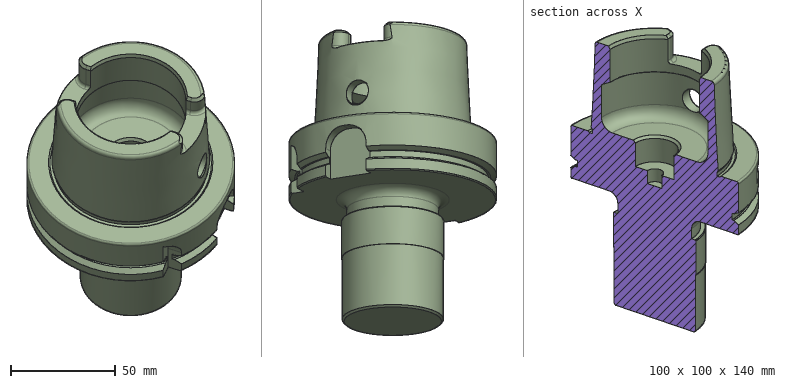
import cadquery as cq
import math

TOTAL_HEIGHT = 140.0
FLANGE_TOP = 90.0
FLANGE_BOTTOM = 61.0

TAPER_BASE_Z = 92.5
TAPER_BASE_RADIUS = 38.0
TAPER_SLOPE = 0.05
TAPER_TOP_RADIUS = TAPER_BASE_RADIUS - TAPER_SLOPE * (TOTAL_HEIGHT - TAPER_BASE_Z)
UNDERCUT_RADIUS = 37.2
UNDERCUT_Z = 91.3
UNDERCUT_DEPTH = 0.7
UNDERCUT_FLOOR_RADIUS = 38.8
UNDERCUT_MOUTH_RADIUS = 39.5

FLANGE_RADIUS = 50.0
FLANGE_ROUND = 1.0
FLANGE_BOTTOM_CHAMFER = 0.5
GROOVE_MID_Z = 70.0
GROOVE_MOUTH_HEIGHT = 6.6
GROOVE_FLOOR_HEIGHT = 3.4
GROOVE_STEP_RADIUS = 47.2
GROOVE_RADIUS = 46.2

NECK_RADIUS = 22.1
NECK_FILLET = 5.0
COLLAR_RADIUS = 24.6
COLLAR_TOP = 50.5
COLLAR_BOTTOM = 31.5
COLLAR_CHAMFER = 0.4
SHANK_RADIUS = 24.4
SHANK_CHAMFER = 1.0

BORE_RADIUS = 26.5
BORE_RIM_RADIUS = 27.3
BORE_RIM_DEPTH = 1.7
LIP_Z = TOTAL_HEIGHT - 19.6
RECESS_RADIUS = 31.5
LIP_UNDERSIDE_ANGLE = 60.0
BORE_FILLET = 6.5
BORE_FLOOR_Z = TOTAL_HEIGHT - 46.6
COUNTERSINK_RADIUS = 12.6
SOCKET_RADIUS = 11.3
SOCKET_DEPTH = 14.0
COOLANT_RADIUS = 4.2
COOLANT_DEPTH = 7.0

SLOT_HALF_WIDTH = 10.0
SLOT_DEPTHS = {-1: 14.8, 1: 9.8}
LUG_ROUND = 5.2
LUG_ROUND_CENTER_X = 27.0
LUG_RELIEF_ANGLE = 30.0
LUG_RELIEF_LENGTH = 14.0
SLOT_ROOT_FILLET = 1.7
RIM_FILLET = 1.8
LUG_END_CHAMFER = 1.4
BEVEL_HEIGHT = 2 * LUG_END_CHAMFER

CROSS_HOLE_RADIUS = 6.0
CROSS_HOLE_SINK_X = 37.0
CROSS_HOLE_Z = TOTAL_HEIGHT - 34.9

KEYWAY_HALF_WIDTH = 10.9
KEYWAY_TOP = 85.0
KEYWAY_CORNER = 9.8
KEYWAY_FLOOR_X = 44.0

NOTCH_RADIUS = 10.0
NOTCH_FLOOR_X = 31.6
NOTCH_CENTER_Y = -41.7
NOTCH_CENTER_Z = 75.6

FLAT_DISTANCE = 47.2
FLAT_ANGLE = 135.0
FLAT_BOTTOM = 78.4
FLAT_TOP = 86.1

ARC_MID = 1 - math.sqrt(0.5)
CLEARANCE = 14.0


def make_body():
    groove_mouth = GROOVE_MOUTH_HEIGHT / 2
    groove_floor = GROOVE_FLOOR_HEIGHT / 2
    fillet_mid = NECK_FILLET * ARC_MID
    round_mid = FLANGE_ROUND * ARC_MID
    return (
        cq.Workplane("XZ")
        .moveTo(0, 0)
        .lineTo(SHANK_RADIUS - SHANK_CHAMFER, 0)
        .lineTo(SHANK_RADIUS, SHANK_CHAMFER)
        .lineTo(SHANK_RADIUS, COLLAR_BOTTOM)
        .lineTo(COLLAR_RADIUS, COLLAR_BOTTOM)
        .lineTo(COLLAR_RADIUS, COLLAR_TOP - COLLAR_CHAMFER)
        .lineTo(COLLAR_RADIUS - COLLAR_CHAMFER, COLLAR_TOP)
        .lineTo(NECK_RADIUS, COLLAR_TOP)
        .lineTo(NECK_RADIUS, FLANGE_BOTTOM - NECK_FILLET)
        .threePointArc(
            (NECK_RADIUS + fillet_mid, FLANGE_BOTTOM - fillet_mid),
            (NECK_RADIUS + NECK_FILLET, FLANGE_BOTTOM),
        )
        .lineTo(FLANGE_RADIUS - FLANGE_BOTTOM_CHAMFER, FLANGE_BOTTOM)
        .lineTo(FLANGE_RADIUS, FLANGE_BOTTOM + FLANGE_BOTTOM_CHAMFER)
        .lineTo(FLANGE_RADIUS, GROOVE_MID_Z - groove_mouth)
        .lineTo(GROOVE_STEP_RADIUS, GROOVE_MID_Z - groove_floor)
        .lineTo(GROOVE_RADIUS, GROOVE_MID_Z - groove_floor)
        .lineTo(GROOVE_RADIUS, GROOVE_MID_Z + groove_floor)
        .lineTo(GROOVE_STEP_RADIUS, GROOVE_MID_Z + groove_floor)
        .lineTo(FLANGE_RADIUS, GROOVE_MID_Z + groove_mouth)
        .lineTo(FLANGE_RADIUS, FLANGE_TOP - FLANGE_ROUND)
        .threePointArc(
            (FLANGE_RADIUS - round_mid, FLANGE_TOP - round_mid),
            (FLANGE_RADIUS - FLANGE_ROUND, FLANGE_TOP),
        )
        .lineTo(UNDERCUT_MOUTH_RADIUS, FLANGE_TOP)
        .lineTo(UNDERCUT_FLOOR_RADIUS, FLANGE_TOP - UNDERCUT_DEPTH)
        .lineTo(UNDERCUT_RADIUS, FLANGE_TOP - UNDERCUT_DEPTH)
        .lineTo(UNDERCUT_RADIUS, UNDERCUT_Z)
        .lineTo(TAPER_BASE_RADIUS, TAPER_BASE_Z)
        .lineTo(TAPER_TOP_RADIUS, TOTAL_HEIGHT)
        .lineTo(0, TOTAL_HEIGHT)
        .close()
        .revolve(360, (0, 0, 0), (0, 1, 0))
    )


def make_bore():
    countersink = COUNTERSINK_RADIUS - SOCKET_RADIUS
    socket_floor = BORE_FLOOR_Z - SOCKET_DEPTH
    coolant_floor = socket_floor - COOLANT_DEPTH
    lip_height = (RECESS_RADIUS - BORE_RADIUS) / math.tan(math.radians(LIP_UNDERSIDE_ANGLE))
    fillet_mid = BORE_FILLET * ARC_MID
    return (
        cq.Workplane("XZ")
        .moveTo(0, coolant_floor)
        .lineTo(COOLANT_RADIUS, coolant_floor)
        .lineTo(COOLANT_RADIUS, socket_floor)
        .lineTo(SOCKET_RADIUS, socket_floor)
        .lineTo(SOCKET_RADIUS, BORE_FLOOR_Z - countersink)
        .lineTo(COUNTERSINK_RADIUS, BORE_FLOOR_Z)
        .lineTo(RECESS_RADIUS - BORE_FILLET, BORE_FLOOR_Z)
        .threePointArc(
            (RECESS_RADIUS - fillet_mid, BORE_FLOOR_Z + fillet_mid),
            (RECESS_RADIUS, BORE_FLOOR_Z + BORE_FILLET),
        )
        .lineTo(RECESS_RADIUS, LIP_Z - lip_height)
        .lineTo(BORE_RADIUS, LIP_Z)
        .lineTo(BORE_RADIUS, TOTAL_HEIGHT - BORE_RIM_DEPTH)
        .lineTo(BORE_RIM_RADIUS, TOTAL_HEIGHT)
        .lineTo(0, TOTAL_HEIGHT)
        .close()
        .revolve(360, (0, 0, 0), (0, 1, 0))
    )


def drive_slot_outline(side, height):
    """Plan outline of a slot that leaves rounded lug ends; side is the sign of X it opens toward."""
    center_y = SLOT_HALF_WIDTH + LUG_ROUND
    relief = math.radians(LUG_RELIEF_ANGLE)
    middle = (relief - math.pi / 2) / 2

    def on_round(angle):
        return (
            side * (LUG_ROUND_CENTER_X + LUG_ROUND * math.cos(angle)),
            center_y + LUG_ROUND * math.sin(angle),
        )

    def mirrored(point):
        return (point[0], -point[1])

    flat_start = (side * LUG_ROUND_CENTER_X, SLOT_HALF_WIDTH)
    round_middle = on_round(middle)
    round_end = on_round(relief)
    relief_end = (
        round_end[0] - side * LUG_RELIEF_LENGTH * math.sin(relief),
        round_end[1] + LUG_RELIEF_LENGTH * math.cos(relief),
    )
    outer_corner = (side * (TAPER_BASE_RADIUS + CLEARANCE), relief_end[1])
    return (
        cq.Workplane("XY", origin=(0, 0, height))
        .moveTo(0, -SLOT_HALF_WIDTH)
        .lineTo(*mirrored(flat_start))
        .threePointArc(mirrored(round_middle), mirrored(round_end))
        .lineTo(*mirrored(relief_end))
        .lineTo(*mirrored(outer_corner))
        .lineTo(*outer_corner)
        .lineTo(*relief_end)
        .lineTo(*round_end)
        .threePointArc(round_middle, flat_start)
        .lineTo(0, SLOT_HALF_WIDTH)
        .close()
    )


def cut_drive_slot(body, side, depth):
    """Cut one slot with a filleted root and a 45 degree bevel along the top of the lug ends."""
    slot = drive_slot_outline(side, TOTAL_HEIGHT - depth).extrude(depth + CLEARANCE)
    slot = slot.faces("<Z").edges().fillet(SLOT_ROOT_FILLET)
    bevel = drive_slot_outline(side, TOTAL_HEIGHT - LUG_END_CHAMFER).extrude(BEVEL_HEIGHT, taper=-45)
    return body.cut(slot).cut(bevel)


def make_cross_hole():
    """Straight bore through both walls, with a 45 degree countersink at each mouth."""
    mouth_x = TAPER_BASE_RADIUS
    mouth_radius = CROSS_HOLE_RADIUS + mouth_x - CROSS_HOLE_SINK_X
    return (
        cq.Workplane("XZ", origin=(0, 0, CROSS_HOLE_Z))
        .moveTo(-mouth_x, 0)
        .lineTo(-mouth_x, mouth_radius)
        .lineTo(-CROSS_HOLE_SINK_X, CROSS_HOLE_RADIUS)
        .lineTo(CROSS_HOLE_SINK_X, CROSS_HOLE_RADIUS)
        .lineTo(mouth_x, mouth_radius)
        .lineTo(mouth_x, 0)
        .close()
        .revolve(360, (0, 0, 0), (1, 0, 0))
    )


def make_keyway(side):
    bottom = FLANGE_BOTTOM - CLEARANCE
    height = KEYWAY_TOP - bottom
    depth = FLANGE_RADIUS - KEYWAY_FLOOR_X + CLEARANCE
    return (
        cq.Workplane("XY")
        .box(depth, 2 * KEYWAY_HALF_WIDTH, height)
        .edges("|X and >Z")
        .fillet(KEYWAY_CORNER)
        .translate((side * (KEYWAY_FLOOR_X + depth / 2), 0, bottom + height / 2))
    )


def make_notch():
    bottom = FLANGE_BOTTOM - CLEARANCE
    return (
        cq.Workplane("YZ", origin=(NOTCH_FLOOR_X, NOTCH_CENTER_Y, 0))
        .moveTo(-NOTCH_RADIUS, bottom)
        .lineTo(NOTCH_RADIUS, bottom)
        .lineTo(NOTCH_RADIUS, NOTCH_CENTER_Z)
        .threePointArc((0, NOTCH_CENTER_Z + NOTCH_RADIUS), (-NOTCH_RADIUS, NOTCH_CENTER_Z))
        .close()
        .extrude(FLANGE_RADIUS)
    )


def make_flat():
    return (
        cq.Workplane("XY")
        .box(CLEARANCE, 2 * FLANGE_RADIUS, FLAT_TOP - FLAT_BOTTOM)
        .translate((FLAT_DISTANCE + CLEARANCE / 2, 0, (FLAT_TOP + FLAT_BOTTOM) / 2))
        .rotate((0, 0, 0), (0, 0, 1), FLAT_ANGLE)
    )


result = make_body().faces(">Z").edges().fillet(RIM_FILLET)
result = result.cut(make_bore())
for slot_side, slot_depth in SLOT_DEPTHS.items():
    result = cut_drive_slot(result, slot_side, slot_depth)

result = result.cut(make_cross_hole())
for keyway_side in (-1, 1):
    result = result.cut(make_keyway(keyway_side))
result = result.cut(make_notch()).cut(make_flat()).solids()